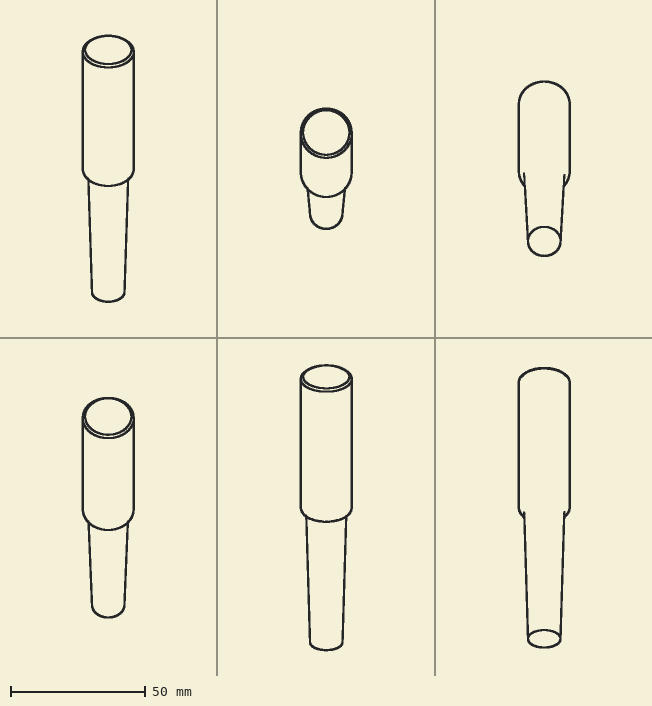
import cadquery as cq

total_length = 114.3
shank_diameter = 19.1
top_chamfer = 0.9
tip_diameter = 12.2
taper_length = 56.0
taper_top_diameter = 15.1
shoulder_height = 2.2
shoulder_middle_diameter = 16.5
shoulder_middle_rise = 0.71

shank_radius = shank_diameter / 2
tip_radius = tip_diameter / 2
taper_top_radius = taper_top_diameter / 2
shoulder_middle_radius = shoulder_middle_diameter / 2
shoulder_middle = taper_length + shoulder_middle_rise
shank_start = taper_length + shoulder_height

half_profile = (
    cq.Workplane("XZ")
    .lineTo(tip_radius, 0)
    .lineTo(taper_top_radius, taper_length)
    .tangentArcPoint((shoulder_middle_radius, shoulder_middle), relative=False)
    .tangentArcPoint((shank_radius, shank_start), relative=False)
    .lineTo(shank_radius, total_length - top_chamfer)
    .lineTo(shank_radius - top_chamfer, total_length)
    .lineTo(0, total_length)
    .close()
)

result = half_profile.revolve(360, (0, 0), (0, 1))